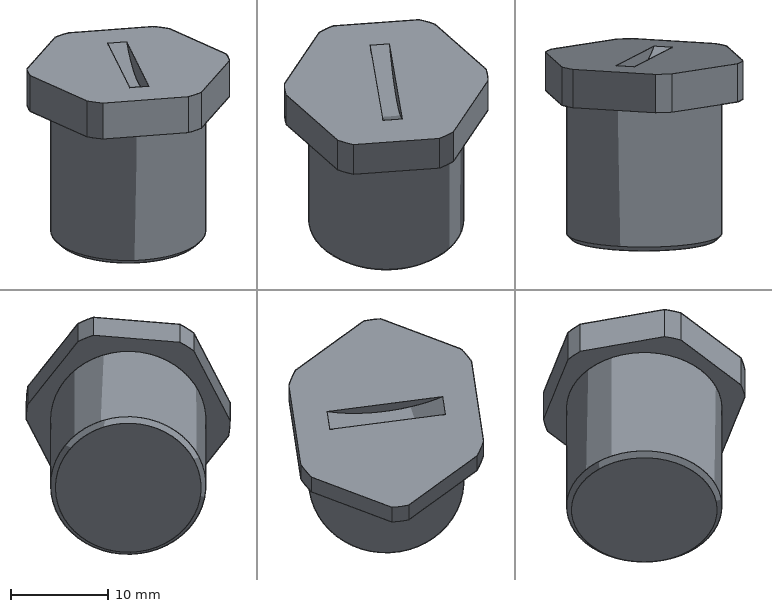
import cadquery as cq

across_flats = 19.0
corner_diameter = 21.0
head_height = 4.0

total_height = 19.0
shank_diameter = 16.0
chamfer_size = 0.5

slot_length = 12.0
slot_width = 2.0
slot_depth = 2.0
slot_angle = -60.0

shank_height = total_height - head_height


def make_head():
    hexagon = (
        cq.Workplane("XY", origin=(0, 0, shank_height))
        .polygon(6, across_flats, circumscribed=True)
        .extrude(head_height)
    )
    envelope = (
        cq.Workplane("XY", origin=(0, 0, shank_height))
        .circle(corner_diameter / 2)
        .extrude(head_height)
    )
    return hexagon.intersect(envelope)


def make_shank():
    shank = cq.Workplane("XY").circle(shank_diameter / 2).extrude(shank_height)
    return shank.faces("<Z").chamfer(chamfer_size)


def make_slot():
    half_length = slot_length / 2
    return (
        cq.Workplane("XZ")
        .moveTo(-half_length, total_height)
        .threePointArc((0, total_height - slot_depth), (half_length, total_height))
        .close()
        .extrude(slot_width / 2, both=True)
        .rotate((0, 0, 0), (0, 0, 1), slot_angle)
    )


result = make_shank().union(make_head()).cut(make_slot())